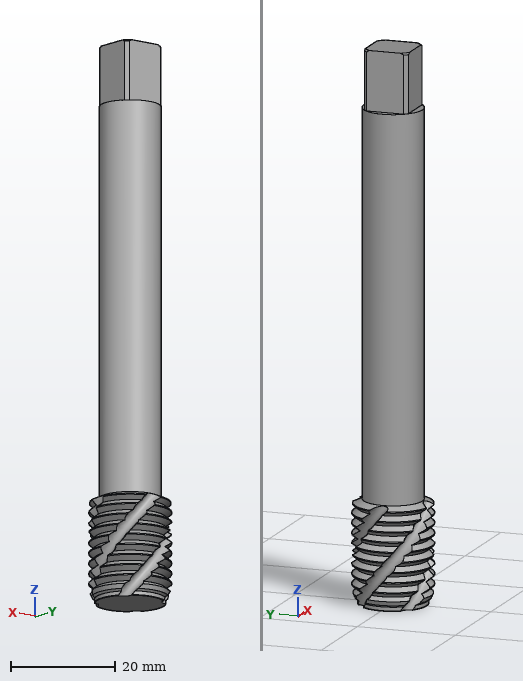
import cadquery as cq

total_length = 110.0
square_length = 12.0
head_length = 20.7

shank_diameter = 12.0
square_width = 9.0
square_corner_diameter = 11.8
square_end_chamfer = 0.3

head_diameter = 16.0
root_diameter = 13.8
crest_flat = 0.2
top_crest_diameter = 15.6
top_crest_depth = 0.8
ring_count = 10
crest_span = 18.0
pitch = crest_span / (ring_count - 1)
lead_diameter = 13.6
lead_length = 2.6

flute_count = 4
flute_radius = 1.8
flute_center_radius = 7.9
flute_lead = 52.8
flute_top_angle = 3.0
flute_twist = 360 * head_length / flute_lead

head_radius = head_diameter / 2
root_radius = root_diameter / 2
top_crest_height = head_length - top_crest_depth


def make_shank():
    """Round shank standing on the head, with a square drive on top."""
    square_base = total_length - square_length
    shank = (
        cq.Workplane("XY")
        .workplane(offset=head_length)
        .circle(shank_diameter / 2)
        .extrude(square_base - head_length)
    )
    square = (
        cq.Workplane("XY")
        .workplane(offset=square_base)
        .rect(square_width, square_width)
        .extrude(square_length)
    )
    rounded_blank = (
        cq.Workplane("XY")
        .workplane(offset=square_base)
        .circle(square_corner_diameter / 2)
        .extrude(square_length)
        .faces(">Z")
        .chamfer(square_end_chamfer)
    )
    return shank.union(square.intersect(rounded_blank))


def make_ringed_blank():
    """Revolved head with parallel V-shaped thread rings and tapered ends."""
    half_flat = crest_flat / 2
    profile = [(0, 0), (root_radius, 0)]
    for ring in reversed(range(ring_count)):
        crest_height = top_crest_height - ring * pitch
        profile.append((root_radius, crest_height - pitch / 2))
        profile.append((head_radius, crest_height - half_flat))
        profile.append((head_radius, crest_height + half_flat))
    profile_top = top_crest_height + pitch / 2
    profile += [(root_radius, profile_top), (0, profile_top)]
    rings = cq.Workplane("XZ").polyline(profile).close().revolve(360, (0, 0), (0, 1))

    envelope = [
        (0, 0),
        (lead_diameter / 2, 0),
        (head_radius, lead_length),
        (head_radius, top_crest_height - pitch / 2),
        (top_crest_diameter / 2, top_crest_height),
        (shank_diameter / 2, head_length),
        (0, head_length),
    ]
    limits = cq.Workplane("XZ").polyline(envelope).close().revolve(360, (0, 0), (0, 1))
    return rings.intersect(limits)


def make_flute_cutter():
    """Round column twisted about Z along the full height of the head, right-handed."""
    return (
        cq.Workplane("XY")
        .moveTo(flute_center_radius, 0)
        .circle(flute_radius)
        .twistExtrude(head_length, flute_twist)
    )


def make_head():
    """Ringed head with the flutes spaced evenly around it."""
    head = make_ringed_blank()
    cutter = make_flute_cutter()
    for flute in range(flute_count):
        angle = flute_top_angle - flute_twist + flute * 360 / flute_count
        head = head.cut(cutter.rotate((0, 0, 0), (0, 0, 1), angle))
    return head


shank = make_shank()
head = make_head()

result = cq.Compound.makeCompound([shank.val(), *head.vals()])